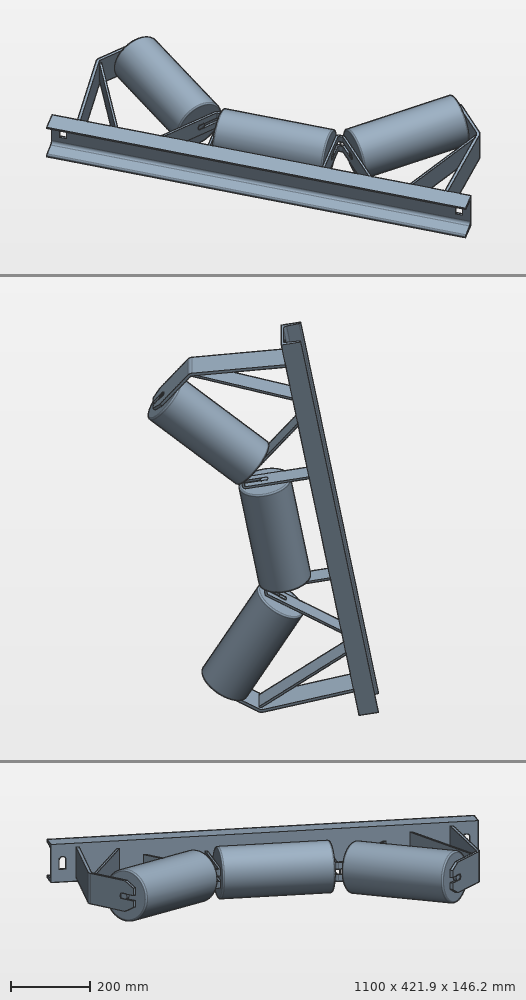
import cadquery as cq
import math


CHANNEL_LENGTH = 1100.0
CHANNEL_HEIGHT = 100.0
FLANGE_WIDTH = 50.0
WEB_THICKNESS = 6.0
FLANGE_THICKNESS = 8.5
FLANGE_SLOPE = 0.08
ROOT_RADIUS = 8.5
TOE_RADIUS = 4.5

MOUNT_SPACING = 1040.0
MOUNT_WIDTH = 18.0
MOUNT_HEIGHT = 33.0

ROLLER_DIAMETER = 133.0
ROLLER_LENGTH = 290.0
ROLLER_EDGE_RADIUS = 4.0
SHAFT_DIAMETER = 20.0
SHAFT_FLATS = 14.0
SHAFT_LENGTH = 306.0
SEAT_CUT_LENGTH = 16.0
SEAT_CUT_RISE = 70.0

TROUGH_ANGLE = 40.0
FORWARD_TILT = 2.5
CENTRE_ROLLER = (0.0, 116.0, -15.0)
WING_ROLLER = (313.2, 229.4, -7.94)

ARM_THICKNESS = 8.0
ARM_WIDTH = 80.0
ARM_OUTER_BEND = 16.0
ARM_FOOT_X = 481.5
ARM_BEND_Y = 242.2
ARM_OVERHANG = 32.5
ARM_TIP_CUT_LENGTH = 27.0
ARM_TIP_CUT_DEPTH = 15.0
BRACE_THICKNESS = 6.0
BRACE_WIDTH = 60.0
BRACE_RISE = 7.0
BRACE_FOOT_X = 375.6
SUPPORT_THICKNESS = 6.0
SUPPORT_WIDTH = 50.0
SUPPORT_TOP = 171.0
SUPPORT_OUTER_BEND = 8.0

CENTRE_PLATE_OFFSET = 150.0
WING_PLATE_OFFSET = 151.2


AXIS = (math.cos(math.radians(TROUGH_ANGLE)), math.sin(math.radians(TROUGH_ANGLE)))
RISE = (-AXIS[1], AXIS[0])
WING_XY = WING_ROLLER[:2]
FOOT_DEPTH = WEB_THICKNESS / 2


def along(point, direction, distance):
    return (point[0] + direction[0] * distance, point[1] + direction[1] * distance)


def edge_at(point, z):
    return cq.selectors.NearestToPointSelector((*point, z))


def strip(path, thickness, width, z_middle, outer_bend=None):
    """Plate of constant thickness following a centre line in XY, bent with round corners."""
    directions = []
    for a, b in zip(path, path[1:]):
        length = math.dist(a, b)
        directions.append(((b[0] - a[0]) / length, (b[1] - a[1]) / length))
    left, right = [], []
    for i, point in enumerate(path):
        before = directions[max(i - 1, 0)]
        after = directions[min(i, len(directions) - 1)]
        normal = (-before[1] - after[1], before[0] + after[0])
        reach = thickness / (1 + before[0] * after[0] + before[1] * after[1]) / 2
        left.append(along(point, normal, reach))
        right.append(along(point, normal, -reach))
    plane = cq.Workplane("XY", origin=(0, 0, z_middle))
    plate = plane.polyline(left + right[::-1]).close().extrude(width / 2, both=True)
    for i in range(1, len(path) - 1):
        turn = directions[i - 1][0] * directions[i][1] - directions[i - 1][1] * directions[i][0]
        inner, outer = (left[i], right[i]) if turn > 0 else (right[i], left[i])
        plate = plate.edges(edge_at(inner, z_middle)).fillet(outer_bend - thickness)
        plate = plate.edges(edge_at(outer, z_middle)).fillet(outer_bend)
    return plate


def box_around(y, z):
    """Selects edges along X at (y, z) and at (y, -z)."""
    return cq.selectors.BoxSelector((-1, y - 1, -z - 1), (1, y + 1, z + 1))


def make_channel():
    """C section open towards -Y, with a mounting slot near each end."""
    half = CHANNEL_HEIGHT / 2
    toe = half - FLANGE_THICKNESS + FLANGE_SLOPE * FLANGE_WIDTH / 2
    root = toe - FLANGE_SLOPE * (FLANGE_WIDTH - WEB_THICKNESS)
    profile = [(0, half), (-FLANGE_WIDTH, half), (-FLANGE_WIDTH, toe), (-WEB_THICKNESS, root)]
    profile += [(y, -z) for y, z in reversed(profile)]
    channel = cq.Workplane("YZ").polyline(profile).close().extrude(CHANNEL_LENGTH / 2, both=True)
    channel = channel.edges(box_around(-WEB_THICKNESS, root)).fillet(ROOT_RADIUS)
    channel = channel.edges(box_around(-FLANGE_WIDTH, toe)).fillet(TOE_RADIUS)
    radius = MOUNT_WIDTH / 2
    for x in (-MOUNT_SPACING / 2, MOUNT_SPACING / 2):
        slot = (
            cq.Workplane("XZ", origin=(x, 0, 0))
            .moveTo(-radius, -MOUNT_HEIGHT / 2)
            .lineTo(radius, -MOUNT_HEIGHT / 2)
            .lineTo(radius, MOUNT_HEIGHT / 2 - radius)
            .threePointArc((0, MOUNT_HEIGHT / 2), (-radius, MOUNT_HEIGHT / 2 - radius))
            .close()
            .extrude(WEB_THICKNESS)
        )
        channel = channel.cut(slot)
    return channel


def make_arm():
    """Right outer bracket: a bent arm with a tapered tip, stiffened by a straight brace."""
    tip = along(along(WING_XY, AXIS, WING_PLATE_OFFSET), RISE, ARM_OVERHANG)
    bend = along(tip, RISE, -(tip[1] - ARM_BEND_Y) / RISE[1])
    foot = (ARM_FOOT_X, -FOOT_DEPTH)
    arm = strip([foot, bend, tip], ARM_THICKNESS, ARM_WIDTH, 0, ARM_OUTER_BEND)
    tip_face = cq.Workplane(cq.Plane((*tip, 0), (*RISE, 0), (*AXIS, 0)))
    for side in (-1, 1):
        wedge = (
            tip_face.moveTo(0, side * ARM_WIDTH / 2)
            .lineTo(-ARM_TIP_CUT_LENGTH, side * ARM_WIDTH / 2)
            .lineTo(0, side * (ARM_WIDTH / 2 - ARM_TIP_CUT_DEPTH))
            .close()
            .extrude(ARM_THICKNESS, both=True)
        )
        arm = arm.cut(wedge)
    brace_top = along(bend, RISE, BRACE_RISE)
    brace = strip([(BRACE_FOOT_X, -FOOT_DEPTH), brace_top], BRACE_THICKNESS, BRACE_WIDTH, 0)
    return arm.union(brace)


def make_support():
    """Right inner bracket: one bent plate holding the centre roller and the wing roller."""
    top = SUPPORT_TOP - SUPPORT_THICKNESS / 2
    face = along(WING_XY, AXIS, -WING_PLATE_OFFSET)
    upper = along(face, RISE, (top - face[1]) / RISE[1])
    lower = along(face, RISE, (-FOOT_DEPTH - face[1]) / RISE[1])
    path = [(CENTRE_PLATE_OFFSET, -FOOT_DEPTH), (CENTRE_PLATE_OFFSET, top), upper, lower]
    return strip(path, SUPPORT_THICKNESS, SUPPORT_WIDTH, CENTRE_ROLLER[2], SUPPORT_OUTER_BEND)


def place(body, side):
    """Move a body from the origin, axis along X, to the centre (0), left (-1) or right (1) seat."""
    if side == 0:
        return body.translate(CENTRE_ROLLER)
    x, y, z = WING_ROLLER
    tilted = body.rotate((0, 0, 0), (0, 1, 0), -side * FORWARD_TILT)
    return tilted.rotate((0, 0, 0), (0, 0, 1), side * TROUGH_ANGLE).translate((side * x, y, z))


def make_roller():
    """Cylinder along X with rounded rims, bored for its shaft."""
    shell = cq.Workplane("YZ", origin=(-ROLLER_LENGTH / 2, 0, 0)).circle(ROLLER_DIAMETER / 2)
    shell = shell.extrude(ROLLER_LENGTH)
    shell = shell.edges().fillet(ROLLER_EDGE_RADIUS)
    bore = cq.Workplane("YZ").circle(SHAFT_DIAMETER / 2).extrude(ROLLER_LENGTH, both=True)
    return shell.cut(bore)


def make_shaft(length):
    """Round shaft with two flats on each end that stands out of the roller."""
    shaft = cq.Workplane("YZ", origin=(-length / 2, 0, 0)).circle(SHAFT_DIAMETER / 2).extrude(length)
    flatted = cq.Workplane("XY").box(length, SHAFT_DIAMETER, SHAFT_FLATS)
    middle = cq.Workplane("XY").box(ROLLER_LENGTH, SHAFT_DIAMETER, SHAFT_DIAMETER)
    return shaft.intersect(flatted.union(middle))


def cut_seat(frame, side):
    """Cut an open-topped slot for each end of one shaft, shaped to the shaft at its bottom."""
    for end in (-1, 1):
        opening = (
            cq.Workplane("XY", origin=(end * CENTRE_PLATE_OFFSET, 0, 0))
            .box(SEAT_CUT_LENGTH, SEAT_CUT_RISE, SHAFT_FLATS, centered=(True, False, True))
        )
        frame = frame.cut(place(opening, side))
    shaft_space = make_shaft(2 * CENTRE_PLATE_OFFSET + SEAT_CUT_LENGTH)
    return frame.cut(place(shaft_space, side))


frame = make_channel()
for half in (make_arm(), make_support()):
    frame = frame.union(half).union(half.mirror("YZ"))

rollers = []
shafts = []
for seat in (-1, 0, 1):
    frame = cut_seat(frame, seat)
    rollers.append(place(make_roller(), seat))
    shafts.append(place(make_shaft(SHAFT_LENGTH), seat))

bodies = [frame] + rollers + shafts
result = cq.Compound.makeCompound([body.val() for body in bodies])